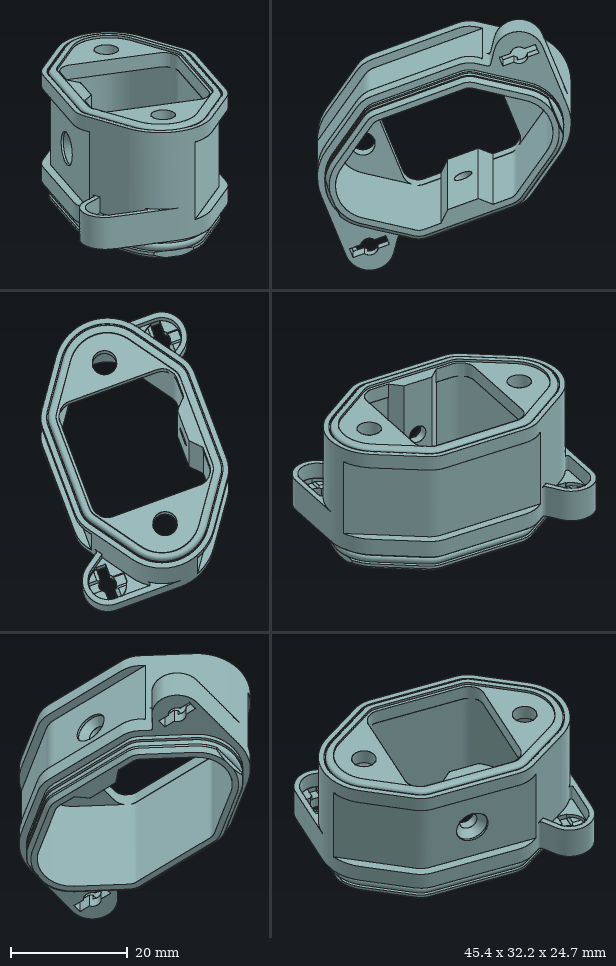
import cadquery as cq
import math

HALF_LENGTH = 22.7
HALF_WIDTH = 13.9
END_RADIUS = 9.15
CORNER_RADIUS = 5.45
FACET_ANGLE = math.radians(35)
SIN_A = math.sin(FACET_ANGLE)
COS_A = math.cos(FACET_ANGLE)
END_X = HALF_LENGTH - END_RADIUS
CORNER_Y = HALF_WIDTH - CORNER_RADIUS
FACET_DISTANCE = END_X * SIN_A + END_RADIUS
CORNER_X = (FACET_DISTANCE - CORNER_Y * COS_A - CORNER_RADIUS) / SIN_A

TOTAL_HEIGHT = 24.7
BODY_TOP = 20.3
NECK_DEPTH = 3.95
EAR_HEIGHT = 6.0
EAR_FLOOR = EAR_HEIGHT / 2
TOP_SEAL_TOP = TOTAL_HEIGHT - NECK_DEPTH

CAVITY_INSET = 3.15
CAVITY_TOP = 17.6
OPENING_SIZE = 21.45
OPENING_CORNER_RADIUS = 2.72
BOLT_HOLE_SPACING = 29.95
BOLT_HOLE_DIAMETER = 4.18

BOSS_BASE_WIDTH = 9.62
BOSS_TIP_WIDTH = 5.65
BOSS_TIP_Y = -8.85
SIDE_HOLE_Z = 9.62
SIDE_HOLE_DIAMETER = 3.2
SIDE_HOLE_MOUTH_DIAMETER = 5.85
SIDE_HOLE_MOUTH_DEPTH = 0.4

RECESS_DEPTH = 1.55
RECESS_BOTTOM = 3.15
RECESS_TOP = 17.55

NECK_INSET = 1.25
NECK_GROOVE_TOP = -0.9
LIP_TOP = -2.65
LIP_CHAMFER = 0.75
LIP_HALF_LENGTH = 20.55

SEAL_INNER_INSET = 2.65
NECK_SEAL_RADIUS = (NECK_GROOVE_TOP - LIP_TOP) / 2
NECK_SEAL_INSET = NECK_INSET + NECK_SEAL_RADIUS
TOP_SEAL_RADIUS = 0.73
TOP_SEAL_INSET = 1.95
TOP_GROOVE_INSET = 1.0
TOP_GROOVE_FLOOR = TOP_SEAL_TOP - TOP_SEAL_RADIUS

EAR_RADIUS = 4.35
EAR_SPAN = 32.2
EAR_X = -(HALF_LENGTH - EAR_RADIUS)
EAR_Y = EAR_SPAN / 2 - EAR_RADIUS
EAR_WALL = 1.0
EAR_SIDE_LENGTH = 6.8
EAR_ROOT_FILLET = 0.5
EAR_POCKET_FILLET = 0.35

SOCKET_RADIUS = 3.25
SLOT_WIDTH = 1.7
SLOT_LENGTH = 6.65
SOCKET_HOLE_DIAMETER = 3.05
CAM_DROP = 0.65
REST_DROP = 0.95
CAM_SLOT_RAMP = 0.7
CAM_REST_RAMP = 0.4

OVERLAP = 0.45


def outline_wire(inset, height):
    """Plan outline at a height, shrunk evenly by the inset, from the start of its -Y side."""
    end_r = END_RADIUS - inset
    corner_r = CORNER_RADIUS - inset
    corner_half = FACET_ANGLE / 2
    tip = (END_X + end_r, 0)
    end_tangent = (END_X + end_r * SIN_A, end_r * COS_A)
    corner_start = (CORNER_X + corner_r * SIN_A, CORNER_Y + corner_r * COS_A)
    corner_mid = (CORNER_X + corner_r * math.sin(corner_half), CORNER_Y + corner_r * math.cos(corner_half))
    corner_end = (CORNER_X, CORNER_Y + corner_r)

    def flip_x(p):
        return (-p[0], p[1])

    def flip_y(p):
        return (p[0], -p[1])

    def turn(p):
        return (-p[0], -p[1])

    return (
        cq.Workplane("XY")
        .workplane(offset=height)
        .moveTo(*turn(corner_end))
        .lineTo(*flip_y(corner_end))
        .threePointArc(flip_y(corner_mid), flip_y(corner_start))
        .lineTo(*flip_y(end_tangent))
        .threePointArc(tip, end_tangent)
        .lineTo(*corner_start)
        .threePointArc(corner_mid, corner_end)
        .lineTo(*flip_x(corner_end))
        .threePointArc(flip_x(corner_mid), flip_x(corner_start))
        .lineTo(*flip_x(end_tangent))
        .threePointArc(turn(tip), turn(end_tangent))
        .lineTo(*turn(corner_start))
        .threePointArc(turn(corner_mid), turn(corner_end))
        .close()
    )


def outline(inset, bottom, top):
    """Prism over the plan outline, shrunk evenly by the inset."""
    return outline_wire(inset, bottom).extrude(top - bottom)


def ring(outer_inset, inner_inset, bottom, top):
    """Band between two insets of the plan outline."""
    return outline(outer_inset, bottom, top).cut(outline(inner_inset, bottom, top))


def both_ends(tool):
    """The tool and its copy turned half a turn about Z."""
    return [tool, tool.rotate((0, 0, 0), (0, 0, 1), 180)]


def ear_prism(inset, bottom, top):
    """Ear at the -X, +Y corner: a round tip whose two straight sides run into the body."""
    radius = EAR_RADIUS - inset
    tip_mid = (math.pi + FACET_ANGLE) / 2
    side_end = (EAR_X + radius * COS_A, EAR_Y + radius * SIN_A)
    side_root = (side_end[0] + EAR_SIDE_LENGTH * SIN_A, side_end[1] - EAR_SIDE_LENGTH * COS_A)
    return (
        cq.Workplane("XY")
        .workplane(offset=bottom)
        .moveTo(EAR_X - radius, 0)
        .lineTo(EAR_X - radius, EAR_Y)
        .threePointArc((EAR_X + radius * math.cos(tip_mid), EAR_Y + radius * math.sin(tip_mid)), side_end)
        .lineTo(*side_root)
        .lineTo(-END_X, 0)
        .close()
        .extrude(top - bottom)
    )


def ear_pocket():
    """Space inside the ear wall, stopping at the body's outer face."""
    pocket = ear_prism(EAR_WALL, EAR_FLOOR, EAR_HEIGHT + OVERLAP)
    pocket = pocket.cut(outline(0, 0, BODY_TOP))
    return pocket.edges("|Z").edges("<Y").fillet(EAR_POCKET_FILLET)


def cam_quadrant():
    """Space above one cam: it falls by ramps to the slot and to the rest groove."""
    size = SOCKET_RADIUS
    start = SLOT_WIDTH / 2
    slab = cq.Workplane("XY").box(size, size, CAM_DROP, centered=False)
    slab = slab.translate((start, start, -CAM_DROP))
    slot_ramp = (
        cq.Workplane("YZ")
        .polyline([(start, -CAM_DROP), (start + CAM_SLOT_RAMP, -CAM_DROP), (start, -REST_DROP)])
        .close()
        .extrude(size)
    )
    rest_ramp = (
        cq.Workplane("XZ")
        .polyline([(start, -CAM_DROP), (start + CAM_REST_RAMP, -CAM_DROP), (start, -REST_DROP)])
        .close()
        .extrude(-size)
    )
    bore = cq.Workplane("XY").workplane(offset=-REST_DROP).circle(SOCKET_RADIUS).extrude(REST_DROP)
    return slab.union(slot_ramp).union(rest_ramp).intersect(bore)


def bayonet_socket():
    """Through slot and hole, crossed by a rest groove, with a cam in two opposite quadrants."""
    plan_centred = (True, True, False)
    through = cq.Workplane("XY").workplane(offset=-EAR_FLOOR)
    slot = through.box(SLOT_LENGTH, SLOT_WIDTH, EAR_FLOOR, centered=plan_centred)
    hole = through.circle(SOCKET_HOLE_DIAMETER / 2).extrude(EAR_FLOOR)
    rest_base = cq.Workplane("XY").workplane(offset=-REST_DROP)
    rest = rest_base.box(SLOT_WIDTH, 2 * SOCKET_RADIUS, REST_DROP, centered=plan_centred)
    socket = slot.union(hole).union(rest)
    for cam in both_ends(cam_quadrant()):
        socket = socket.union(cam)
    return socket.translate((EAR_X, EAR_Y, EAR_FLOOR))


def ear():
    """One ear with its pocket; its straight side meets the body's oblique side in a fillet."""
    body = ear_prism(0, 0, EAR_HEIGHT).union(outline(0, 0, EAR_HEIGHT))
    along = EAR_X * COS_A + EAR_Y * SIN_A + EAR_RADIUS
    root = (along * COS_A - FACET_DISTANCE * SIN_A, along * SIN_A + FACET_DISTANCE * COS_A)
    corner = cq.selectors.NearestToPointSelector((root[0], root[1], EAR_HEIGHT / 2))
    body = body.edges("|Z").edges(corner).fillet(EAR_ROOT_FILLET)
    return body.cut(outline(0, 0, EAR_HEIGHT)).cut(ear_pocket())


def label_recess():
    """Recess along the -Y side and the oblique side next to it on the -X end."""
    radius = CORNER_RADIUS - RECESS_DEPTH
    half = FACET_ANGLE / 2
    far = HALF_LENGTH
    bend_end = (-CORNER_X - radius * SIN_A, -CORNER_Y - radius * COS_A)
    return (
        cq.Workplane("XY")
        .workplane(offset=RECESS_BOTTOM)
        .moveTo(far, -CORNER_Y - radius)
        .lineTo(-CORNER_X, -CORNER_Y - radius)
        .threePointArc((-CORNER_X - radius * math.sin(half), -CORNER_Y - radius * math.cos(half)), bend_end)
        .lineTo(bend_end[0] - far * COS_A, bend_end[1] + far * SIN_A)
        .lineTo(-2 * far, -far)
        .lineTo(far, -far)
        .close()
        .extrude(RECESS_TOP - RECESS_BOTTOM)
    )


def neck():
    """Neck with the seal groove and a chamfered lip cut straight at both ends."""
    lip = outline(NECK_INSET, -NECK_DEPTH, LIP_TOP).faces("<Z").chamfer(LIP_CHAMFER)
    lip = lip.intersect(cq.Workplane("XY").box(2 * LIP_HALF_LENGTH, 2 * HALF_WIDTH, 2 * NECK_DEPTH))
    core = outline(SEAL_INNER_INSET, LIP_TOP, NECK_GROOVE_TOP)
    return outline(NECK_INSET, NECK_GROOVE_TOP, 0).union(core).union(lip)


def boss():
    """Tapered boss over the full height of the -Y inner wall."""
    wall_y = -(HALF_WIDTH - CAVITY_INSET)
    return (
        cq.Workplane("XY")
        .workplane(offset=-NECK_DEPTH)
        .polyline(
            [
                (-BOSS_BASE_WIDTH / 2, wall_y),
                (-BOSS_TIP_WIDTH / 2, BOSS_TIP_Y),
                (BOSS_TIP_WIDTH / 2, BOSS_TIP_Y),
                (BOSS_BASE_WIDTH / 2, wall_y),
            ]
        )
        .close()
        .extrude(NECK_DEPTH + BODY_TOP)
    )


def side_hole():
    """Hole through the -Y wall and boss, with a 90 degree countersink set below the recess face."""
    face_y = -(HALF_WIDTH - RECESS_DEPTH)
    mouth_r = SIDE_HOLE_MOUTH_DIAMETER / 2
    hole_r = SIDE_HOLE_DIAMETER / 2
    cone_y = face_y + SIDE_HOLE_MOUTH_DEPTH
    hole_y = cone_y + mouth_r - hole_r
    profile = [(0, face_y), (mouth_r, face_y), (mouth_r, cone_y), (hole_r, hole_y), (hole_r, 0), (0, 0)]
    hole = cq.Workplane("XY").polyline(profile).close().revolve(360, (0, 0, 0), (0, 1, 0))
    return hole.translate((0, 0, SIDE_HOLE_Z))


def opening():
    """Square opening above the cavity, with its corners held inside the cavity walls."""
    square = cq.Workplane("XY").box(OPENING_SIZE, OPENING_SIZE, 2 * (BODY_TOP + OVERLAP))
    square = square.edges("|Z").fillet(OPENING_CORNER_RADIUS)
    return square.intersect(outline(CAVITY_INSET, 0, BODY_TOP + OVERLAP))


def make_housing():
    housing = outline(0, 0, BODY_TOP).union(neck())
    for recess in both_ends(label_recess()):
        housing = housing.cut(recess)
    for one_ear in both_ends(ear()):
        housing = housing.union(one_ear)
    housing = housing.cut(outline(CAVITY_INSET, -NECK_DEPTH, CAVITY_TOP))
    housing = housing.cut(opening())
    bolt_hole = cq.Workplane("XY").circle(BOLT_HOLE_DIAMETER / 2).extrude(BODY_TOP + OVERLAP)
    for x in (-BOLT_HOLE_SPACING / 2, BOLT_HOLE_SPACING / 2):
        housing = housing.cut(bolt_hole.translate((x, 0, 0)))
    housing = housing.union(boss()).cut(side_hole())
    for socket in both_ends(bayonet_socket()):
        housing = housing.cut(socket)
    return housing.cut(ring(TOP_GROOVE_INSET, SEAL_INNER_INSET, TOP_GROOVE_FLOOR, BODY_TOP + OVERLAP))


def sweep_seal(profile, rim_inset, height):
    """Seal swept from a profile drawn about the centre of its rounded rim."""
    start_y = -(HALF_WIDTH - rim_inset)
    placed = profile.val().translate((-CORNER_X, start_y, height))
    section = cq.Workplane("YZ", origin=(-CORNER_X, 0, 0)).add(placed).toPending()
    return section.sweep(outline_wire(rim_inset, height))


def make_top_seal():
    """Seal in the top groove, with its outer upper edge rounded over its full height."""
    bulge = TOP_SEAL_RADIUS * math.sqrt(0.5)
    flat = SEAL_INNER_INSET - TOP_SEAL_INSET
    profile = (
        cq.Workplane("YZ")
        .moveTo(-TOP_SEAL_RADIUS, 0)
        .threePointArc((-bulge, bulge), (0, TOP_SEAL_RADIUS))
        .lineTo(flat, TOP_SEAL_RADIUS)
        .lineTo(flat, 0)
        .close()
    )
    return sweep_seal(profile, TOP_SEAL_INSET, TOP_GROOVE_FLOOR)


def make_neck_seal():
    """Seal around the neck with a half-round rim, filling the groove between neck and lip."""
    flat = SEAL_INNER_INSET - NECK_SEAL_INSET
    profile = (
        cq.Workplane("YZ")
        .moveTo(0, -NECK_SEAL_RADIUS)
        .threePointArc((-NECK_SEAL_RADIUS, 0), (0, NECK_SEAL_RADIUS))
        .lineTo(flat, NECK_SEAL_RADIUS)
        .lineTo(flat, -NECK_SEAL_RADIUS)
        .close()
    )
    return sweep_seal(profile, NECK_SEAL_INSET, LIP_TOP + NECK_SEAL_RADIUS)


housing = make_housing()
top_seal = make_top_seal()
neck_seal = make_neck_seal()
result = cq.Compound.makeCompound([housing.val(), top_seal.val(), neck_seal.val()])